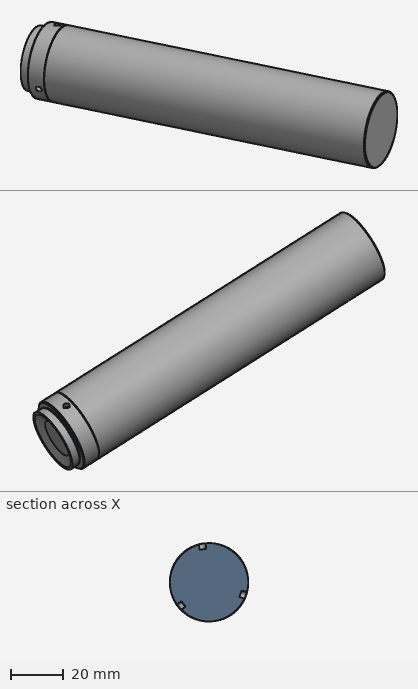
import cadquery as cq
import math

length = 145.4
body_radius = 15.0
body_start = 3.8
edge_chamfer = 0.5

nose_radius = 12.8
undercut_width = 0.5
undercut_depth = 0.3

joint_x = 10.9
joint_half_width = 0.1
joint_depth = 0.1

lip_radius = 11.6
mouth_radius = 11.2
lip_depth = 0.3
floor_radius = 7.7
recess_depth = 1.9

hole_count = 3
hole_x = 8.3
hole_diameter = 2.5
hole_depth = 2.2
first_hole_angle = 79.8


def make_turned_body():
    """Revolve the half section, including the nose recess, about X."""
    undercut_radius = nose_radius - undercut_depth
    chamfer_radius = body_radius - edge_chamfer
    half_section = (
        cq.Workplane("XY")
        .moveTo(recess_depth, 0)
        .lineTo(recess_depth, floor_radius)
        .lineTo(lip_depth, mouth_radius)
        .lineTo(0, lip_radius)
        .lineTo(0, nose_radius)
        .lineTo(body_start - undercut_width, nose_radius)
        .lineTo(body_start - undercut_width, undercut_radius)
        .lineTo(body_start, undercut_radius)
        .lineTo(body_start, chamfer_radius)
        .lineTo(body_start + edge_chamfer, body_radius)
        .lineTo(joint_x - joint_half_width, body_radius)
        .lineTo(joint_x, body_radius - joint_depth)
        .lineTo(joint_x + joint_half_width, body_radius)
        .lineTo(length - edge_chamfer, body_radius)
        .lineTo(length, chamfer_radius)
        .lineTo(length, 0)
        .close()
    )
    return half_section.revolve(360, (0, 0, 0), (1, 0, 0))


def make_radial_hole(angle):
    """Cylinder entering the ring from outside, pointing at the axis."""
    direction = cq.Vector(0, math.cos(math.radians(angle)), math.sin(math.radians(angle)))
    floor_center = cq.Vector(hole_x, 0, 0) + direction * (body_radius - hole_depth)
    return cq.Solid.makeCylinder(hole_diameter / 2, 2 * hole_depth, floor_center, direction)


result = make_turned_body()
for index in range(hole_count):
    hole_angle = first_hole_angle + index * 360 / hole_count
    result = result.cut(cq.Workplane(obj=make_radial_hole(hole_angle)))